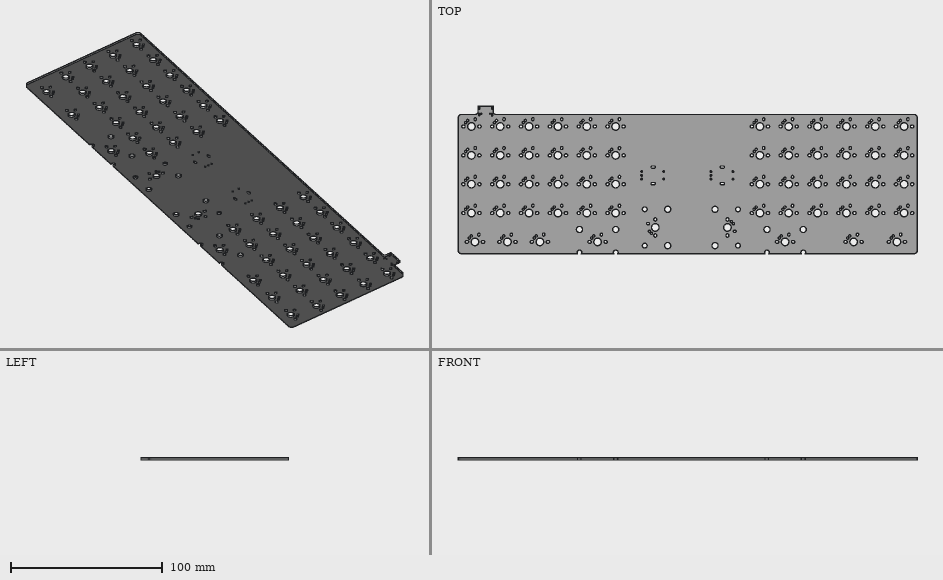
import cadquery as cq
import math


PLATE_LENGTH = 303.2
PLATE_WIDTH = 92.2
THICKNESS = 1.6
CORNER_RADIUS = 2.5
TAB_WIDTH = 10.3
TAB_REACH = 5.5
TAB_ROOT_RADIUS = 1.5
TAB_X = 18.2

COLUMNS = 16
COLUMN_SPAN = 285.5
KEY_PITCH = COLUMN_SPAN / (COLUMNS - 1)
FIRST_COLUMN_X = (PLATE_LENGTH - COLUMN_SPAN) / 2
FULL_ROWS = 4
LAST_FULL_ROW_Y = 27.0
TOP_ROW_Y = LAST_FULL_ROW_Y + (FULL_ROWS - 1) * KEY_PITCH
HALF_COLUMNS = 6
BOTTOM_ROW = FULL_ROWS
THUMB_ROW = BOTTOM_ROW - 0.5
EIGHTH = 1 / 8
WIDE_BOTTOM_KEYS = [4 + 3 * EIGHTH, 11 - EIGHTH]
NARROW_BOTTOM_KEYS = [EIGHTH, 1 + 2 * EIGHTH, 2 + 3 * EIGHTH, 13 + 2 * EIGHTH, 15 - 2 * EIGHTH]
THUMB_KEYS = [(6 + 3 * EIGHTH, 90), (9 - EIGHTH, -90)]

PIN_GRID = KEY_PITCH / 15
STEM_DIAMETER = 5.0
SIDE_DIAMETER = 1.8
SIDE_SLOT_INNER = 5.2
SIDE_SLOT_OUTER = 5.5
PIN_DIAMETER = 1.4
LEFT_PINS = [(-3 * PIN_GRID, 2 * PIN_GRID), (-2.5, 4.0)]
RIGHT_PIN_START = (2.5, 4.5)
RIGHT_PIN_END = (2 * PIN_GRID, 4 * PIN_GRID)

STABILISER_SPAN = 24.0
LARGE_STABILISER_DIAMETER = 4.0
LARGE_STABILISER_OFFSET = 8.2
SMALL_STABILISER_DIAMETER = 3.0
SMALL_STABILISER_OFFSET = 7.0

ENCODER_COLUMNS = [6.3, 8.7]
ENCODER_Y = PLATE_WIDTH - 40.3
ENCODER_PIN_DIAMETER = 1.0
ENCODER_PIN_PITCH = 2.5
ENCODER_PINS_X = -7.5
ENCODER_SWITCH_X = 7.0
ENCODER_LUG_OFFSET = 5.5
ENCODER_LUG_LENGTH = 2.8
ENCODER_LUG_WIDTH = 1.4

USB_SLOT_WIDTH = 0.5
USB_SLOT_OFFSET = 4.2
USB_OUTER_SLOT_LENGTH = 1.2
USB_OUTER_SLOT_DEPTH = 1.5
USB_INNER_SLOT_LENGTH = 1.7
USB_INNER_SLOT_DEPTH = 5.8
USB_PEG_DIAMETER = 0.65
USB_PEG_OFFSET = 2.88
USB_PEG_DEPTH = 5.2


def hole(diameter, x, y):
    return cq.Workplane("XY").center(x, y).circle(diameter / 2).extrude(THICKNESS)


def slot(diameter, start, end):
    """Slot whose two end arcs are centred on start and end."""
    run = (end[0] - start[0], end[1] - start[1])
    middle = ((start[0] + end[0]) / 2, (start[1] + end[1]) / 2)
    angle = math.degrees(math.atan2(run[1], run[0]))
    outline = cq.Workplane("XY").center(*middle).slot2D(math.hypot(*run) + diameter, diameter, angle)
    return outline.extrude(THICKNESS)


def switch_cutters():
    stem_and_sides = [
        hole(STEM_DIAMETER, 0, 0),
        slot(SIDE_DIAMETER, (-SIDE_SLOT_OUTER, 0), (-SIDE_SLOT_INNER, 0)),
        slot(SIDE_DIAMETER, (SIDE_SLOT_INNER, 0), (SIDE_SLOT_OUTER, 0)),
    ]
    left_pins = [hole(PIN_DIAMETER, x, y) for x, y in LEFT_PINS]
    right_pin = slot(PIN_DIAMETER, RIGHT_PIN_START, RIGHT_PIN_END)
    return stem_and_sides + left_pins + [right_pin]


def stabiliser_cutters(large_side):
    """Holes of both stabiliser feet; large_side is +1 or -1, the Y side of the large holes."""
    cutters = []
    for x in (-STABILISER_SPAN / 2, STABILISER_SPAN / 2):
        cutters.append(hole(LARGE_STABILISER_DIAMETER, x, large_side * LARGE_STABILISER_OFFSET))
        cutters.append(hole(SMALL_STABILISER_DIAMETER, x, -large_side * SMALL_STABILISER_OFFSET))
    return cutters


def encoder_cutters():
    cutters = [hole(ENCODER_PIN_DIAMETER, ENCODER_PINS_X, i * ENCODER_PIN_PITCH) for i in (-1, 0, 1)]
    half_run = (ENCODER_LUG_LENGTH - ENCODER_LUG_WIDTH) / 2
    for side in (-1, 1):
        cutters.append(hole(ENCODER_PIN_DIAMETER, ENCODER_SWITCH_X, side * ENCODER_PIN_PITCH))
        lug_y = side * ENCODER_LUG_OFFSET
        cutters.append(slot(ENCODER_LUG_WIDTH, (-half_run, lug_y), (half_run, lug_y)))
    return cutters


def usb_cutters():
    """Shell slots and locating peg holes; the origin is the middle of the tab's end edge."""
    cutters = []
    slots = [
        (USB_OUTER_SLOT_LENGTH, USB_OUTER_SLOT_DEPTH),
        (USB_INNER_SLOT_LENGTH, USB_INNER_SLOT_DEPTH),
    ]
    for side in (-1, 1):
        x = side * USB_SLOT_OFFSET
        for length, depth in slots:
            half_run = (length - USB_SLOT_WIDTH) / 2
            cutters.append(slot(USB_SLOT_WIDTH, (x, -depth - half_run), (x, -depth + half_run)))
        cutters.append(hole(USB_PEG_DIAMETER, side * USB_PEG_OFFSET, -USB_PEG_DEPTH))
    return cutters


def placed(cutters, x, y, angle=0):
    origin = (0, 0, 0)
    return [c.rotate(origin, (0, 0, 1), angle).translate((x, y, 0)).val() for c in cutters]


def column_x(column):
    return FIRST_COLUMN_X + column * KEY_PITCH


def row_y(row):
    return TOP_ROW_Y - row * KEY_PITCH


def board():
    """Plate with rounded corners, joined to the USB tab by a fillet on each side of the tab root."""
    plate = cq.Workplane("XY").box(PLATE_LENGTH, PLATE_WIDTH, THICKNESS, centered=False)
    plate = plate.edges("|Z").fillet(CORNER_RADIUS)
    tab = cq.Workplane("XY").box(TAB_WIDTH, 2 * TAB_REACH, THICKNESS, centered=(True, False, False))
    body = plate.union(tab.translate((TAB_X, PLATE_WIDTH - TAB_REACH, 0)))
    for side in (-1, 1):
        root = (TAB_X + side * TAB_WIDTH / 2, PLATE_WIDTH, THICKNESS / 2)
        body = body.edges(cq.NearestToPointSelector(root)).fillet(TAB_ROOT_RADIUS)
    return body


def all_cutters():
    switch = switch_cutters()
    cutters = []

    for row in range(FULL_ROWS):
        for i in range(HALF_COLUMNS):
            for column in (i, COLUMNS - 1 - i):
                cutters += placed(switch, column_x(column), row_y(row))

    for column in NARROW_BOTTOM_KEYS + WIDE_BOTTOM_KEYS:
        cutters += placed(switch, column_x(column), row_y(BOTTOM_ROW))
    for column in WIDE_BOTTOM_KEYS:
        cutters += placed(stabiliser_cutters(1), column_x(column), row_y(BOTTOM_ROW))

    for column, angle in THUMB_KEYS:
        thumb = switch + stabiliser_cutters(-1)
        cutters += placed(thumb, column_x(column), row_y(THUMB_ROW), angle)

    for column in ENCODER_COLUMNS:
        cutters += placed(encoder_cutters(), column_x(column), ENCODER_Y)
    cutters += placed(usb_cutters(), TAB_X, PLATE_WIDTH + TAB_REACH)
    return cutters


result = cq.Workplane("XY").newObject([board().val().cut(*all_cutters())])